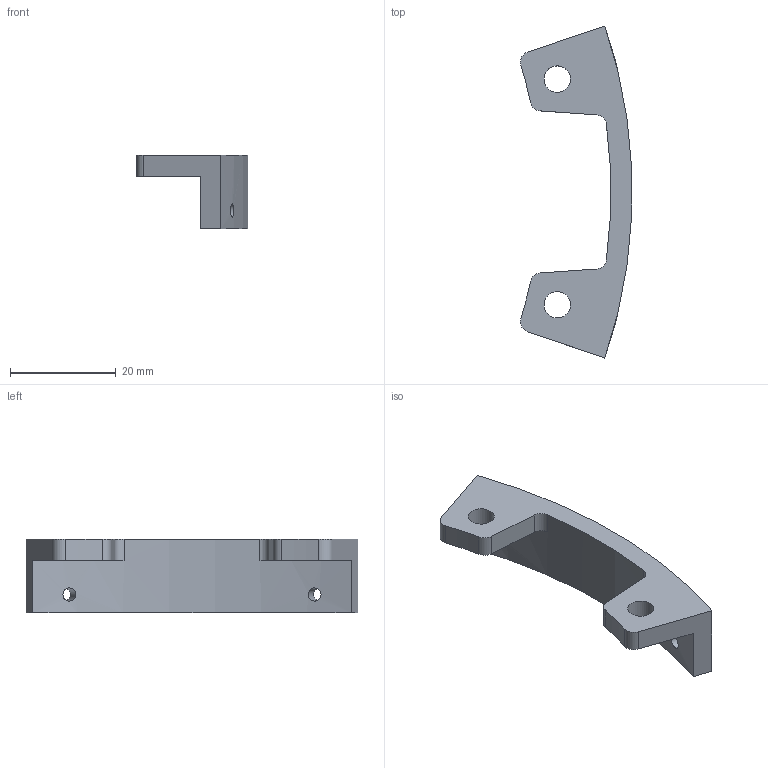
import cadquery as cq
import math

outer_radius = 98.0
wall_thickness = 4.0
wall_inner_radius = outer_radius - wall_thickness
chord_length = 62.83
height = 14.0
end_angle = math.degrees(math.asin(chord_length / 2 / outer_radius))

tab_thickness = 4.0
tab_inner_radius = 80.56
tab_corner_radius = 2.0
tab_side_slope = 4.0
tab_side_half_gap = 14.4
tab_gap_start_x = 70.0

hole_angle = 14.3
tab_hole_diameter = 5.0
tab_hole_radius = 86.5
wall_hole_diameter = 2.5
wall_hole_height = 3.5


def polar(radius, angle):
    """Point at a radius from the Z axis and an angle in degrees from +X."""
    turn = math.radians(angle)
    return (radius * math.cos(turn), radius * math.sin(turn))


def ring_sector(inner_radius, thickness_z):
    """Sector between two concentric arcs, closed by radial end faces."""
    return (
        cq.Workplane("XY")
        .moveTo(*polar(inner_radius, -end_angle))
        .lineTo(*polar(outer_radius, -end_angle))
        .threePointArc((outer_radius, 0), polar(outer_radius, end_angle))
        .lineTo(*polar(inner_radius, end_angle))
        .threePointArc((inner_radius, 0), polar(inner_radius, -end_angle))
        .close()
        .extrude(thickness_z)
    )


def tab_gap():
    """Tapered opening between the tabs, bounded outside by the wall's inner face."""
    widening = (wall_inner_radius - tab_gap_start_x) * math.tan(math.radians(tab_side_slope))
    near_half_gap = tab_side_half_gap + widening
    wedge = (
        cq.Workplane("XY")
        .moveTo(tab_gap_start_x, -near_half_gap)
        .lineTo(wall_inner_radius, -tab_side_half_gap)
        .lineTo(wall_inner_radius, tab_side_half_gap)
        .lineTo(tab_gap_start_x, near_half_gap)
        .close()
        .extrude(tab_thickness)
    )
    wall_bore = cq.Workplane("XY").circle(wall_inner_radius).extrude(tab_thickness)
    return wedge.intersect(wall_bore)


def tab_plate():
    """Top plate with both tabs, every corner rounded except those on the outer arc."""
    plate = ring_sector(tab_inner_radius, tab_thickness).cut(tab_gap())
    wall_middle_radius = (wall_inner_radius + outer_radius) / 2
    inner_corners = plate.edges("|Z").filter(
        lambda edge: math.hypot(edge.Center().x, edge.Center().y) < wall_middle_radius
    )
    rounded = inner_corners.fillet(tab_corner_radius)
    return rounded.translate((0, 0, height - tab_thickness))


def tab_hole(side):
    """Vertical drill through the tab on the +Y (side = 1) or -Y (side = -1) end."""
    return (
        cq.Workplane("XY")
        .center(*polar(tab_hole_radius, side * hole_angle))
        .circle(tab_hole_diameter / 2)
        .extrude(height)
    )


def wall_hole(side):
    """Radial drill through the wall, overrunning both of its faces."""
    overrun = wall_thickness
    start = polar(wall_inner_radius - overrun, side * hole_angle)
    direction = polar(1, side * hole_angle)
    return cq.Workplane(cq.Solid.makeCylinder(
        wall_hole_diameter / 2,
        wall_thickness + 2 * overrun,
        cq.Vector(*start, wall_hole_height),
        cq.Vector(*direction, 0),
    ))


result = ring_sector(wall_inner_radius, height).union(tab_plate())
for side in (-1, 1):
    result = result.cut(tab_hole(side)).cut(wall_hole(side))